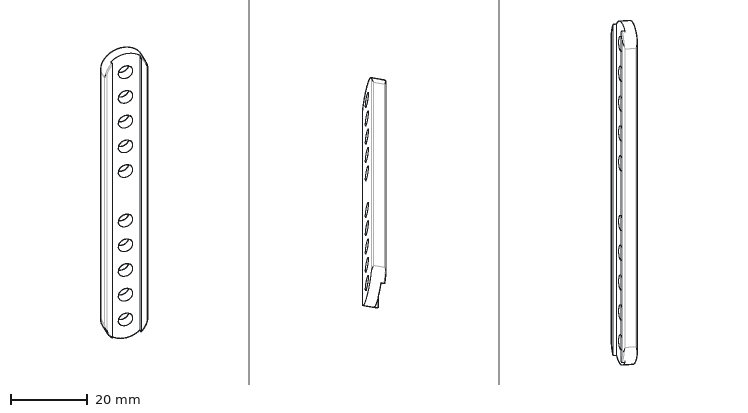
import cadquery as cq

thickness = 4.0
width = 12.0
length = 92.0
end_radius = width / 2

edge_radius = 0.5

rim_radius = 0.3

channel_width = 8.0
channel_depth = 1.0

hole_diameter = 4.0
holes_per_row = 5
outer_hole_z = length / 2 - end_radius
hole_pitch = outer_hole_z / holes_per_row


def make_bar():
    """Straight bar with rounded long edges, trimmed to full-round ends with a soft +X rim."""
    bar = cq.Workplane("XY").box(thickness, width, length).edges("|Z").fillet(edge_radius)
    end_outline = (
        cq.Workplane("YZ")
        .slot2D(length, width, 90)
        .extrude(thickness / 2, both=True)
        .faces(">X")
        .edges()
        .fillet(rim_radius)
    )
    return bar.intersect(end_outline)


def make_channel():
    channel_center_x = (thickness - channel_depth) / 2
    return (
        cq.Workplane("XY")
        .box(channel_depth, channel_width, length)
        .translate((channel_center_x, 0, 0))
    )


def make_holes():
    hole_centers = []
    for step in range(1, holes_per_row + 1):
        for side in (-1, 1):
            hole_centers.append((0, side * step * hole_pitch))
    return (
        cq.Workplane("YZ")
        .pushPoints(hole_centers)
        .circle(hole_diameter / 2)
        .extrude(thickness / 2, both=True)
    )


result = make_bar().cut(make_channel()).cut(make_holes())